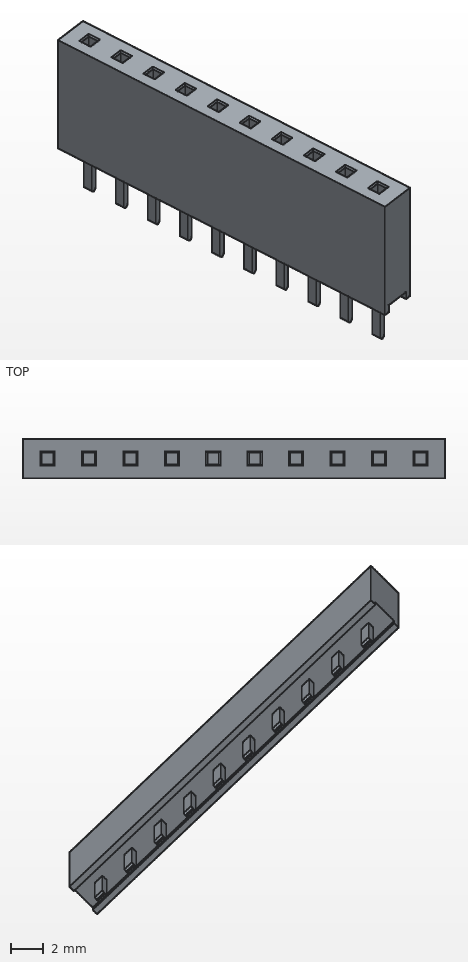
import cadquery as cq

body_length = 25.9
body_width = 2.43
body_height = 8.5
channel_width = 1.65
channel_depth = 0.55

contact_count = 10
pitch = 2.54
pin_width = 0.64
pin_thickness = 0.4
pin_reach = 3.2
pin_tip_chamfer = 0.15

socket_size = 0.7
socket_depth = 6.0
lead_in_chamfer = 0.1

first_contact_x = -(contact_count - 1) / 2 * pitch
contact_points = [(first_contact_x + i * pitch, 0) for i in range(contact_count)]

BASE_CENTERED = (True, True, False)


def make_housing():
    """Rectangular block with a channel along the whole underside."""
    block = cq.Workplane("XY").box(body_length, body_width, body_height, centered=BASE_CENTERED)
    channel = cq.Workplane("XY").box(body_length, channel_width, channel_depth, centered=BASE_CENTERED)
    return block.cut(channel)


def make_sockets():
    """Square blind holes from the top face, each with a tapered lead-in at its mouth."""
    mouth_size = socket_size + 2 * lead_in_chamfer
    top_points = cq.Workplane("XY", origin=(0, 0, body_height)).pushPoints(contact_points)
    holes = top_points.rect(socket_size, socket_size).extrude(-socket_depth)
    lead_in = (
        cq.Workplane("XY", origin=(0, 0, body_height))
        .rect(mouth_size, mouth_size)
        .workplane(offset=-lead_in_chamfer)
        .rect(socket_size, socket_size)
        .loft(ruled=True)
    )
    for x, y in contact_points:
        holes = holes.union(lead_in.translate((x, y, 0)))
    return holes


def make_pins():
    """Flat pins hanging from the channel roof, chamfered at the tip on both broad faces."""
    pins = (
        cq.Workplane("XY", origin=(0, 0, -pin_reach))
        .pushPoints(contact_points)
        .rect(pin_width, pin_thickness)
        .extrude(pin_reach + channel_depth)
    )
    return pins.faces("<Z").edges("|X").chamfer(pin_tip_chamfer)


result = make_housing().cut(make_sockets()).union(make_pins())